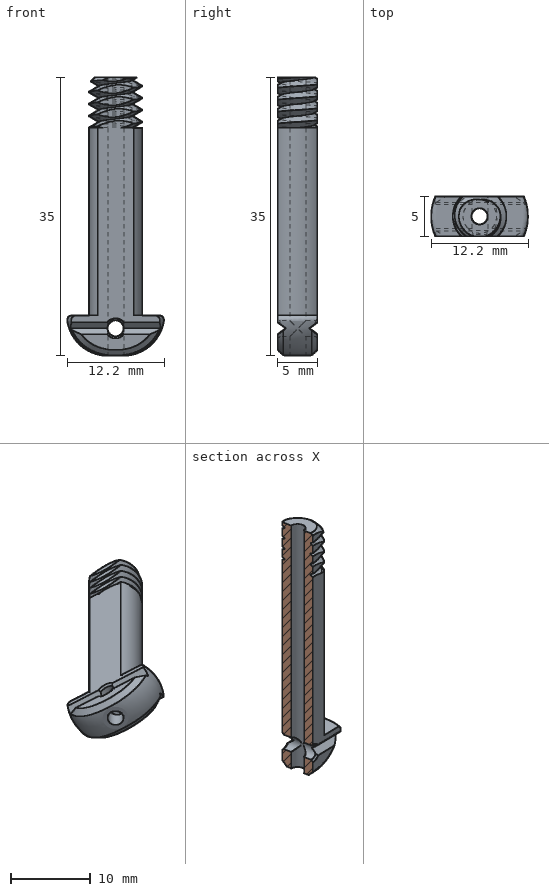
import cadquery as cq
import math

total_height = 34.98
width = 5.0

head_height = 5.05
dome_radius = 5.27
dome_center_r = 0.895
dome_center_z = 5.22
head_top_fillet = 0.6
head_chamfer_on_dome = 0.75
head_chamfer_on_flat = 0.5

groove_z = 3.42
groove_depth = 1.0
groove_half_width = 0.75
hole_diameter = 2.0
hole_chamfer = 0.27

shank_diameter = 6.74
shank_radius = shank_diameter / 2
thread_length = 6.37
shank_top = total_height - thread_length
thread_pitch = 1.5
thread_root_radius = 2.1
thread_half_angle = 30.0
thread_tip_chamfer = 0.77
thread_runout_turns = 3
cutter_overlap = 0.01

cutter_length = 20.0


def slab(bottom, top):
    """Block of the common width between two heights."""
    return cq.Workplane("XY", origin=(0, 0, bottom)).rect(cutter_length, width).extrude(top - bottom)


def dome_point(angle):
    """Point of the dome's profile arc, as (radius, height)."""
    return (
        dome_center_r + dome_radius * math.cos(angle),
        dome_center_z + dome_radius * math.sin(angle),
    )


def dome():
    """Revolved head with a flat underside and a rounded upper rim."""
    start_angle = -math.asin(dome_center_z / dome_radius)
    end_angle = math.asin((head_height - dome_center_z) / dome_radius)
    profile = (
        cq.Workplane("XZ")
        .lineTo(*dome_point(start_angle))
        .threePointArc(dome_point((start_angle + end_angle) / 2), dome_point(end_angle))
        .lineTo(0, head_height)
        .close()
    )
    solid = profile.revolve(360, (0, 0, 0), (0, 1, 0))
    return solid.faces(">Z").edges().fillet(head_top_fillet)


def groove(side):
    """V-shaped cutter running along X; side is -1 or +1 along Y."""
    face_y = side * width / 2
    return (
        cq.Workplane("YZ")
        .moveTo(face_y, groove_z - groove_half_width)
        .lineTo(face_y - side * groove_depth, groove_z)
        .lineTo(face_y, groove_z + groove_half_width)
        .close()
        .extrude(cutter_length / 2, both=True)
    )


def cross_hole():
    """Hole along Y, chamfered where it meets the two flat sides."""
    hole_radius = hole_diameter / 2
    mouth_radius = hole_radius + hole_chamfer
    return (
        cq.Workplane("XY", origin=(0, 0, groove_z))
        .moveTo(0, -width / 2)
        .lineTo(mouth_radius, -width / 2)
        .lineTo(hole_radius, hole_chamfer - width / 2)
        .lineTo(hole_radius, width / 2 - hole_chamfer)
        .lineTo(mouth_radius, width / 2)
        .lineTo(0, width / 2)
        .close()
        .revolve(360, (0, 0, 0), (0, 1, 0))
    )


def head_edge_slivers():
    """Material outside the edge chamfers, which end at the groove bottoms."""
    lower = dome().intersect(slab(0, groove_z))
    curved_edges = lower.faces("<Y or >Y").edges("not #Z")
    return lower.cut(curved_edges.chamfer(head_chamfer_on_dome, head_chamfer_on_flat))


def head():
    """Dome with two flat sides, chamfered, grooved and cross-drilled."""
    body = dome().intersect(slab(0, head_height)).cut(head_edge_slivers())
    for side in (-1, 1):
        body = body.cut(groove(side))
    return body.cut(cross_hole())


def shank():
    """Round rod with a flat on each side."""
    rod = cq.Workplane("XY", origin=(0, 0, head_height)).circle(shank_radius)
    return rod.extrude(shank_top - head_height).intersect(slab(head_height, shank_top))


def thread_cutter():
    """Right-hand V-groove whose bottom starts on the +X side at the top of the shank."""
    outer_radius = shank_radius + cutter_overlap
    half_width = (outer_radius - thread_root_radius) * math.tan(math.radians(thread_half_angle))
    start_z = shank_top - thread_pitch
    helix_height = thread_length + thread_runout_turns * thread_pitch
    helix_start = cq.Vector(0, 0, start_z)
    path = cq.Wire.makeHelix(thread_pitch, helix_height, thread_root_radius, center=helix_start)
    return (
        cq.Workplane("XZ", origin=(0, 0, start_z))
        .moveTo(thread_root_radius, 0)
        .lineTo(outer_radius, -half_width)
        .lineTo(outer_radius, half_width)
        .close()
        .sweep(cq.Workplane(path), isFrenet=True)
    )


def tip_chamfer_ring():
    """Ring with a 45 degree inner cone that bevels the tip of the thread."""
    inner_radius = shank_radius - thread_tip_chamfer
    ring_reach = 2 * thread_tip_chamfer
    return (
        cq.Workplane("XZ")
        .moveTo(inner_radius, total_height)
        .lineTo(inner_radius + ring_reach, total_height)
        .lineTo(inner_radius + ring_reach, total_height - ring_reach)
        .close()
        .revolve(360, (0, 0, 0), (0, 1, 0))
    )


def threaded_end():
    """Threaded rod with a bevelled tip, flattened like the shank."""
    rod = cq.Workplane("XY", origin=(0, 0, shank_top)).circle(shank_radius).extrude(thread_length)
    threaded_rod = rod.cut(thread_cutter()).cut(tip_chamfer_ring())
    return threaded_rod.intersect(slab(shank_top, total_height))


bore = cq.Workplane("XY").circle(hole_diameter / 2).extrude(total_height)
result = head().union(shank()).union(threaded_end()).cut(bore)